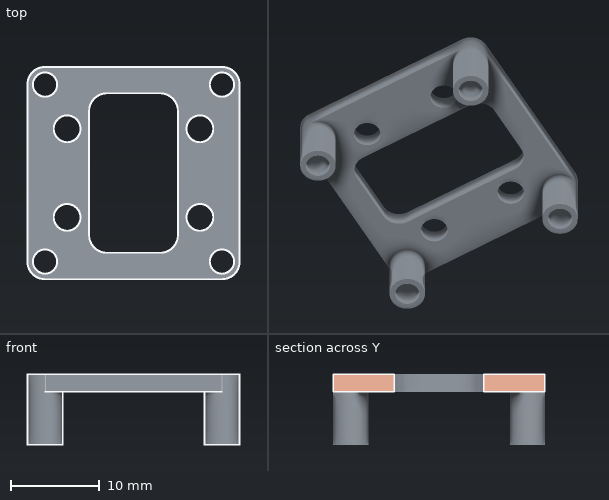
import cadquery as cq

side = 24.0
total_height = 8.0
plate_thickness = 2.0
leg_diameter = 4.0
leg_bore = 2.7

corner_radius = leg_diameter / 2
leg_spacing = side - leg_diameter

window_width = 10.0
window_length = 18.0
window_radius = 2.0

mount_diameter = 3.0
mount_spacing_x = 15.0
mount_spacing_y = 10.0


def cylinders(spacing_x, spacing_y, diameter):
    """Four full-height cylinders at the corners of a centred rectangle."""
    return (
        cq.Workplane("XY")
        .rect(spacing_x, spacing_y, forConstruction=True)
        .vertices()
        .circle(diameter / 2)
        .extrude(total_height)
    )


def plate_block(width, length):
    """Centred block as thick as the plate, flush with the top."""
    return (
        cq.Workplane("XY", origin=(0, 0, total_height - plate_thickness))
        .rect(width, length)
        .extrude(plate_thickness)
    )


plate = plate_block(side, side).edges("|Z").chamfer(corner_radius)
legs = cylinders(leg_spacing, leg_spacing, leg_diameter)
window = plate_block(window_width, window_length).edges("|Z").fillet(window_radius)
leg_bores = cylinders(leg_spacing, leg_spacing, leg_bore)
mount_holes = cylinders(mount_spacing_x, mount_spacing_y, mount_diameter)

result = plate.union(legs, clean=True).cut(window).cut(leg_bores).cut(mount_holes)